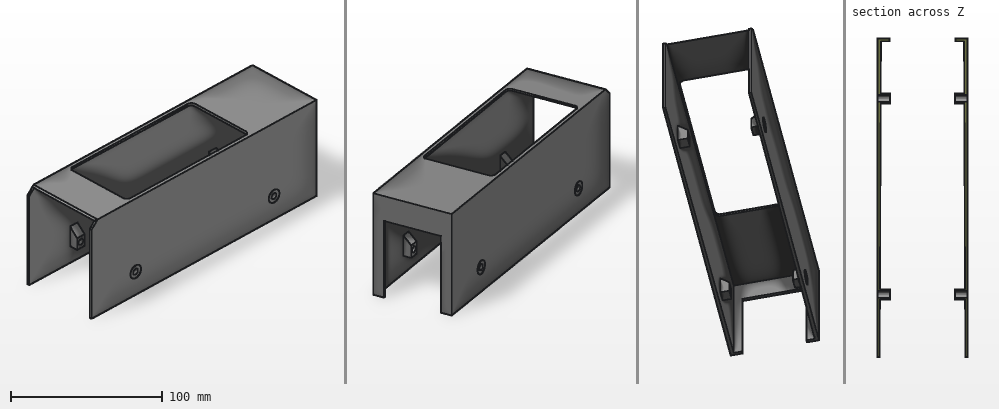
import cadquery as cq

width = 60.0
length = 211.0
height = 76.0
front_chamfer = 5.7

front_wall = 1.7
back_wall = 2.5
front_roof = 1.3
back_roof = 2.5
end_wall = 2.0

doorway_width = 43.5
doorway_height = 57.4

window_width = 54.0
window_start = 36.0
window_end = 150.9
window_radius = 3.4

screw_positions = (41.5, 171.3)
screw_height = 18.1
boss_length = 7.0
boss_bottom = 13.3
boss_tip_top = 22.5
boss_root_top = 29.1
boss_reach = 8.5
hole_diameter = 4.5
recess_diameter = 10.0
recess_depth = 0.2


def cavity_section(y, wall, roof):
    """Closed cavity outline at one Y station."""
    half = width / 2 - wall
    top = height - roof
    return (
        cq.Workplane("XZ", origin=(0, y, 0))
        .polyline([(-half, 0), (half, 0), (half, top), (-half, top)])
        .close()
        .wire()
        .val()
    )


def make_shell():
    body = cq.Workplane("XY").box(width, length, height, centered=(True, False, False))
    body = body.faces("<Y").edges(">Z").chamfer(front_chamfer)
    front = cavity_section(0, front_wall, front_roof)
    back = cavity_section(length - end_wall, back_wall, back_roof)
    return body.cut(cq.Workplane(cq.Solid.makeLoft([front, back], True)))


def make_doorway():
    return cq.Workplane("XY").box(
        doorway_width, 2 * end_wall, doorway_height, centered=(True, True, False)
    ).translate((0, length - end_wall / 2, 0))


def make_window():
    window_length = window_end - window_start
    return (
        cq.Workplane("XY", origin=(0, (window_start + window_end) / 2, height - 2 * back_roof))
        .rect(window_width, window_length)
        .extrude(3 * back_roof)
        .edges("|Z")
        .fillet(window_radius)
    )


def make_boss(y):
    """Boss on the -X wall, sloped on top and rooted inside the wall."""
    outer = -width / 2
    root = outer + front_wall
    buried = outer + front_wall / 2
    tip = outer + boss_reach
    slope = (boss_root_top - boss_tip_top) / (tip - root)
    buried_top = boss_root_top + slope * (root - buried)
    return (
        cq.Workplane("XZ", origin=(0, y + boss_length / 2, 0))
        .polyline([
            (buried, boss_bottom),
            (tip, boss_bottom),
            (tip, boss_tip_top),
            (buried, buried_top),
        ])
        .close()
        .extrude(boss_length)
    )


def make_screw_cut(y):
    """Clearance hole across both walls, with a shallow recess in each outer face."""
    side = cq.Workplane("YZ", origin=(-width / 2, 0, 0)).center(y, screw_height)
    hole = side.circle(hole_diameter / 2).extrude(width)
    recess = side.circle(recess_diameter / 2).extrude(recess_depth)
    return hole.union(recess).union(recess.mirror("YZ"))


result = make_shell().cut(make_doorway()).cut(make_window())
for screw_y in screw_positions:
    boss = make_boss(screw_y)
    result = result.union(boss).union(boss.mirror("YZ"))
    result = result.cut(make_screw_cut(screw_y))